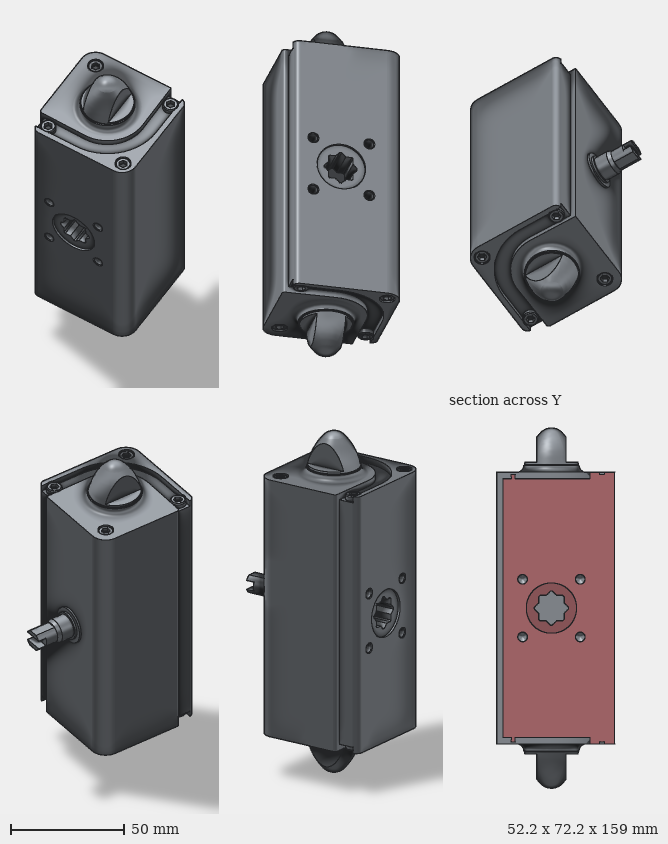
import cadquery as cq
import math


total_height = 159.0
body_height = 119.9
width = 52.2
near_side = 24.2
far_side = width - near_side
shaft_reach = 44.2

block_side = 18.0
step_inset = 2.7
main_corner_radius = 7.2
step_corner_radius = 3.0
block_corner_radius = 1.5

channel_inner_radius = 18.3
channel_outer_radius = 25.5
channel_depth = 2.9

screw_spacing = 39.1
screw_offset = 2.7
screw_diameter = 7.0
screw_chamfer = 0.5
screw_sink = 0.5
screw_socket_width = 4.0
screw_socket_depth = 2.4

half_body = body_height / 2
half_total = total_height / 2
flare_radius = 3.0
flare_top_radius = 12.2
dome_base_radius = 12.0
flare_foot_radius = flare_top_radius + flare_radius
flare_top = half_body + flare_radius
groove_width = 0.5
groove_radius = 11.6
dome_base = flare_top + groove_width
dome_middle_radius = 8.9
dome_middle = 71.7
cap_radius = 5.0
cap_base = 77.3
cap_sphere_radius = (cap_radius**2 + (half_total - cap_base)**2) / (2 * (half_total - cap_base))
cap_middle_radius = cap_radius / 2
cap_middle = half_total - cap_sphere_radius + math.sqrt(cap_sphere_radius**2 - cap_middle_radius**2)
pointer_width = 13.0
pointer_base = 64.4

mount_spacing = 25.5
mount_hole_diameter = 4.1
mount_mouth_diameter = 5.0
mount_hole_depth = 9.5
drill_point_angle = 118.0

hub_diameter = 22.0
hub_recess = 1.1
wall_thickness = 5.0
collar_diameter = 17.0
collar_end = near_side + 1.0
washer_diameter = 13.0
washer_end = collar_end + 1.0
journal_diameter = 11.1
journal_end = 32.3
neck_diameter = 9.4
neck_start = 34.2
flats_width = 8.3
slot_width = 4.1
slot_depth = 4.0
star_square = 11.1
star_tip_diameter = 15.0
star_depth = 15.9
hub_front = hub_recess - far_side
hub_shoulder = near_side - wall_thickness


def cylinder_y(diameter, start, end):
    """Solid cylinder on the shaft axis between two Y positions."""
    plane = cq.Workplane("XZ", origin=(0, start, 0))
    return plane.circle(diameter / 2).extrude(start - end)


def box_between(x_range, y_range, z_range):
    """Axis-aligned box given by its limits along X, Y and Z."""
    low, high = zip(x_range, y_range, z_range)
    size = [end - start for start, end in zip(low, high)]
    return cq.Workplane("XY", origin=low).box(*size, centered=False)


def round_edge(solid, x, y, radius):
    """Fillet the vertical edge that stands at (x, y)."""
    return solid.edges(cq.selectors.NearestToPointSelector((x, y, 0))).fillet(radius)


def make_profile():
    """Stepped prism that forms the housing body."""
    lower_left = step_inset - near_side
    upper_right = near_side - step_inset
    outline = [
        (-near_side, near_side),
        (block_side, near_side),
        (block_side, upper_right),
        (far_side, upper_right),
        (far_side, -far_side),
        (lower_left, -far_side),
        (lower_left, -block_side),
        (-near_side, -block_side),
    ]
    body = cq.Workplane("XY").polyline(outline).close().extrude(half_body, both=True)
    body = round_edge(body, -near_side, near_side, main_corner_radius)
    body = round_edge(body, far_side, -far_side, main_corner_radius)
    body = round_edge(body, lower_left, -far_side, step_corner_radius)
    body = round_edge(body, far_side, upper_right, step_corner_radius)
    return round_edge(body, -near_side, -block_side, block_corner_radius)


def make_channel():
    """Cutter for the curved channel in the top end face, open at both ends."""
    inner = channel_inner_radius
    outer = channel_outer_radius
    step = near_side - step_inset
    diagonal = math.sqrt(0.5)
    return (
        cq.Workplane("XY", origin=(0, 0, half_body - channel_depth))
        .moveTo(block_side, step)
        .lineTo(block_side, near_side)
        .lineTo(outer, near_side)
        .lineTo(outer, 0)
        .threePointArc((outer * diagonal, -outer * diagonal), (0, -outer))
        .lineTo(-near_side, -outer)
        .lineTo(-near_side, -block_side)
        .lineTo(-step, -block_side)
        .lineTo(0, -inner)
        .threePointArc((inner * diagonal, -inner * diagonal), (inner, 0))
        .close()
        .extrude(channel_depth)
    )


def screw_points(z):
    """Workplane at height z holding the centres of the four end screws."""
    return (
        cq.Workplane("XY", origin=(screw_offset, -screw_offset, z))
        .rect(screw_spacing, screw_spacing, forConstruction=True)
        .vertices()
    )


def make_screw_bores():
    """Cutters for the bores that receive the four screw heads."""
    return screw_points(half_body - channel_depth).circle(screw_diameter / 2).extrude(channel_depth)


def make_screw_heads():
    """Chamfered screw heads and the cutters for their hexagon sockets."""
    head_top = half_body - screw_sink
    heads = (
        screw_points(half_body - channel_depth)
        .circle(screw_diameter / 2)
        .extrude(channel_depth - screw_sink)
        .faces(">Z")
        .chamfer(screw_chamfer)
    )
    sockets = screw_points(head_top).polygon(6, screw_socket_width).extrude(-screw_socket_depth)
    return heads, sockets


def make_dome():
    """Flared and grooved dome, cut to a flat-sided pointer above its base."""
    bulge = flare_radius * (1 - math.sqrt(0.5))
    dome = (
        cq.Workplane("XZ")
        .moveTo(0, half_body - channel_depth)
        .lineTo(flare_foot_radius, half_body - channel_depth)
        .lineTo(flare_foot_radius, half_body)
        .threePointArc((flare_top_radius + bulge, half_body + bulge), (flare_top_radius, flare_top))
        .lineTo(groove_radius, flare_top)
        .lineTo(groove_radius, dome_base)
        .lineTo(dome_base_radius, dome_base)
        .threePointArc((dome_middle_radius, dome_middle), (cap_radius, cap_base))
        .threePointArc((cap_middle_radius, cap_middle), (0, half_total))
        .close()
        .revolve(360, (0, 0, 0), (0, 1, 0))
    )
    for side in (-1, 1):
        x_range = sorted((side * pointer_width / 2, side * width))
        dome = dome.cut(box_between(x_range, (-width, width), (pointer_base, half_total)))
    return dome


def add_both_ends(body):
    """Give the two ends of the body the same channel, screws and dome."""
    heads, sockets = make_screw_heads()
    for cutter in (make_channel(), make_screw_bores()):
        body = body.cut(cutter).cut(cutter.mirror("XY"))
    for boss in (heads, make_dome()):
        body = body.union(boss).union(boss.mirror("XY"))
    return body.cut(sockets).cut(sockets.mirror("XY"))


def make_mount_hole():
    """Cutter for one drilled hole in the -Y face, with a chamfered mouth and a pointed bottom."""
    radius = mount_hole_diameter / 2
    mouth_radius = mount_mouth_diameter / 2
    point = radius / math.tan(math.radians(drill_point_angle / 2))
    outline = [
        (0, 0),
        (mouth_radius, 0),
        (radius, mouth_radius - radius),
        (radius, mount_hole_depth),
        (0, mount_hole_depth + point),
    ]
    return (
        cq.Workplane("XY")
        .polyline(outline)
        .close()
        .revolve(360, (0, 0, 0), (0, 1, 0))
        .translate((0, -far_side, 0))
    )


def make_housing():
    """Housing with its end features, mounting holes and stepped shaft bore."""
    housing = add_both_ends(make_profile())
    for x in (-mount_spacing / 2, mount_spacing / 2):
        for z in (-mount_spacing / 2, mount_spacing / 2):
            housing = housing.cut(make_mount_hole().translate((x, 0, z)))
    housing = housing.cut(cylinder_y(hub_diameter, -far_side, hub_shoulder))
    return housing.cut(cylinder_y(collar_diameter, hub_shoulder, near_side))


def make_star_socket():
    """Cutter for the eight-pointed socket: two crossed squares with clipped tips."""
    end = hub_front + star_depth
    half = star_square / 2
    square = box_between((-half, half), (hub_front, end), (-half, half))
    turned_square = square.rotate((0, 0, 0), (0, 1, 0), 45)
    return square.union(turned_square).intersect(cylinder_y(star_tip_diameter, hub_front, end))


def make_shaft():
    """Stepped drive shaft with a star socket at one end and a slotted, flatted tip at the other."""
    profile = [
        (0, hub_front),
        (hub_diameter / 2, hub_front),
        (hub_diameter / 2, hub_shoulder),
        (collar_diameter / 2, hub_shoulder),
        (collar_diameter / 2, collar_end),
        (washer_diameter / 2, collar_end),
        (washer_diameter / 2, washer_end),
        (journal_diameter / 2, washer_end),
        (journal_diameter / 2, journal_end),
        (neck_diameter / 2, neck_start),
        (neck_diameter / 2, shaft_reach),
        (0, shaft_reach),
    ]
    shaft = cq.Workplane("XY").polyline(profile).close().revolve(360, (0, 0, 0), (0, 1, 0))
    radius = neck_diameter / 2
    for side in (-1, 1):
        z_range = sorted((side * flats_width / 2, side * neck_diameter))
        shaft = shaft.cut(box_between((-radius, radius), (neck_start, shaft_reach), z_range))
    slot = box_between(
        (-radius, radius), (shaft_reach - slot_depth, shaft_reach), (-slot_width / 2, slot_width / 2)
    )
    return shaft.cut(slot).cut(make_star_socket())


housing = make_housing()
shaft = make_shaft()
result = cq.Compound.makeCompound([housing.solids().val(), shaft.solids().val()])